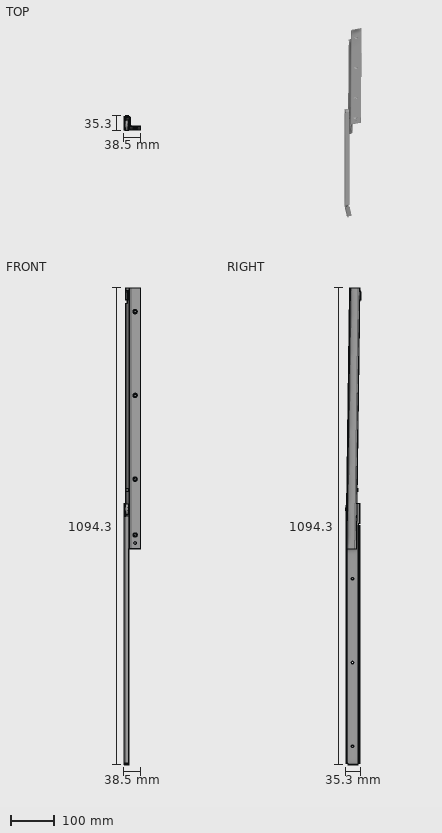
import cadquery as cq


overall_width = 38.5
overall_height = 35.3
overall_length = 1094.27

fixed_length = 600.0
fixed_sheet = 1.5
fixed_bottom = 1.6
fixed_top = 33.0
fixed_width = 11.4
fixed_bend = 3.5
rim_height = 3.2
bottom_flange_end = 571.0
rim_end = 549.0
head_corner_radius = 6.0
relief_height = 4.4
relief_depth = 3.0

tab_bend = 4.0
tab_inset = 4.0

fixed_hole_diameter = 5.0
fixed_hole_y = 16.0
fixed_hole_start = 43.2
fixed_hole_offsets = (0, 192, 384, 512)
locating_hole_diameter = 4.0
locating_hole_y = 24.0
locating_hole_z = 570.0

roller_diameter = 24.0
roller_y = roller_diameter / 2
roller_z = 587.0
roller_start_x = 3.0
roller_end_x = 10.5
axle_diameter = 6.8
shoulder_diameter = 11.0

moving_length = 598.6
tilt = 0.78
moving_sheet = 2.0
moving_height = 23.8
moving_web_x = 12.9
moving_bend = 4.0
top_flange_x = 4.0

hump_height = 2.4
hump_start = 571.5
hump_end = 593.0
hump_ramp = 4.0
hump_slit = 8.0
bump_height = 1.5
bump_start = 131.6
bump_length = 7.0

flange_hole_x = 25.8
flange_hole_diameter = 5.0
countersink_diameter = 10.0
countersunk_start = 32.0
countersunk_offsets = (0, 128, 320, 512)
end_hole_z = 13.5


def box(x0, x1, y0, y1, z0, z1):
    corner = cq.Workplane("XY", origin=(x0, y0, z0))
    return corner.box(x1 - x0, y1 - y0, z1 - z0, centered=False)


def rod(diameter, x0, x1, y, z):
    return cq.Workplane("YZ", origin=(x0, y, z)).circle(diameter / 2).extrude(x1 - x0)


def fixed_section():
    """Closed outline of the web, its bottom bend and flange, and the stepped top rim."""
    bend_y = fixed_bottom + fixed_bend
    rim_y = fixed_top - rim_height
    return (
        cq.Workplane("XY", origin=(0, 0, tab_bend))
        .moveTo(0, rim_y)
        .lineTo(0, bend_y)
        .radiusArc((fixed_bend, fixed_bottom), -fixed_bend)
        .lineTo(fixed_width, fixed_bottom)
        .lineTo(fixed_width, fixed_bottom + fixed_sheet)
        .lineTo(fixed_bend, fixed_bottom + fixed_sheet)
        .radiusArc((fixed_sheet, bend_y), fixed_bend - fixed_sheet)
        .lineTo(fixed_sheet, rim_y - fixed_sheet)
        .lineTo(2 * fixed_sheet, rim_y - fixed_sheet)
        .lineTo(2 * fixed_sheet, fixed_top)
        .lineTo(fixed_sheet, fixed_top)
        .lineTo(fixed_sheet, rim_y)
        .close()
    )


def fixed_head():
    """Flat plate that carries the roller, above the ends of the flange and the rim."""
    middle = (fixed_bottom + fixed_top) / 2
    lower = box(0, fixed_sheet, fixed_bottom, middle, bottom_flange_end, fixed_length)
    lower = lower.edges("|X and <Y and >Z").fillet(head_corner_radius)
    relief_top = rim_end + relief_height
    upper = box(0, fixed_sheet, middle, fixed_top, relief_top, fixed_length)
    neck = box(0, fixed_sheet, middle, fixed_top - relief_depth, rim_end, relief_top)
    return lower.union(upper).union(neck)


def stop_tab():
    """The web narrows and bends towards +X at Z = 0."""
    width = fixed_top - fixed_bottom - 2 * tab_inset
    return (
        cq.Workplane("XZ", origin=(0, fixed_top - tab_inset, 0))
        .moveTo(0, tab_bend)
        .radiusArc((tab_bend, 0), -tab_bend)
        .lineTo(fixed_width, 0)
        .lineTo(fixed_width, fixed_sheet)
        .lineTo(tab_bend, fixed_sheet)
        .radiusArc((fixed_sheet, tab_bend), tab_bend - fixed_sheet)
        .close()
        .extrude(width)
    )


def make_fixed_rail():
    middle = (fixed_bottom + fixed_top) / 2
    reach = fixed_width
    rail = fixed_section().extrude(fixed_length - tab_bend)
    rail = rail.cut(box(0, reach, 0, middle, bottom_flange_end, fixed_length))
    rail = rail.cut(box(0, reach, middle, fixed_top, rim_end, fixed_length))
    rail = rail.union(fixed_head()).union(stop_tab())
    for offset in fixed_hole_offsets:
        hole_z = fixed_hole_start + offset
        rail = rail.cut(rod(fixed_hole_diameter, 0, fixed_sheet, fixed_hole_y, hole_z))
    rail = rail.cut(rod(locating_hole_diameter, 0, fixed_sheet, locating_hole_y, locating_hole_z))
    return rail.cut(rod(axle_diameter, 0, fixed_sheet, roller_y, roller_z))


def make_roller():
    wheel = rod(roller_diameter, roller_start_x, roller_end_x, roller_y, roller_z)
    return wheel.cut(rod(axle_diameter, roller_start_x, roller_end_x, roller_y, roller_z))


def make_axle():
    """Pin flush with the web, with a shoulder that spaces the roller off the web."""
    pin = rod(axle_diameter, 0, roller_end_x, roller_y, roller_z)
    return pin.union(rod(shoulder_diameter, fixed_sheet, roller_start_x, roller_y, roller_z))


def moving_section():
    """Closed outline of the web with a bottom flange towards +X and a top flange towards -X."""
    inner_bend = moving_bend - moving_sheet
    left = moving_web_x
    right = left + moving_sheet
    top = moving_height
    return (
        cq.Workplane("XY")
        .moveTo(overall_width, 0)
        .lineTo(left + moving_bend, 0)
        .radiusArc((left, moving_bend), moving_bend)
        .lineTo(left, top - moving_bend)
        .radiusArc((left - inner_bend, top - moving_sheet), -inner_bend)
        .lineTo(top_flange_x, top - moving_sheet)
        .lineTo(top_flange_x, top)
        .lineTo(right - moving_bend, top)
        .radiusArc((right, top - moving_bend), moving_bend)
        .lineTo(right, moving_bend)
        .radiusArc((right + inner_bend, moving_sheet), -inner_bend)
        .lineTo(overall_width, moving_sheet)
        .close()
    )


def hump_prism(base, x1):
    """Hump outline above the height base: sheared square at its lower end, ramped at its upper end."""
    return (
        cq.Workplane("YZ", origin=(top_flange_x, 0, 0))
        .moveTo(base, hump_start)
        .lineTo(base + hump_height, hump_start)
        .lineTo(base + hump_height, hump_end - hump_ramp)
        .lineTo(base, hump_end)
        .close()
        .extrude(x1 - top_flange_x)
    )


def add_hump(rail):
    """Press the top flange upwards, with a slit across its edge below the hump."""
    flat_end = moving_web_x + moving_sheet - moving_bend
    rail = rail.union(hump_prism(moving_height, flat_end))
    rail = rail.cut(hump_prism(moving_height - moving_sheet, flat_end - moving_sheet))
    slit_end = (top_flange_x + flat_end) / 2
    slit_bottom = hump_start - hump_slit
    underside = moving_height - moving_sheet
    return rail.cut(box(top_flange_x, slit_end, underside, moving_height, slit_bottom, hump_start))


def add_bump(rail):
    flat_end = moving_web_x + moving_sheet - moving_bend
    bump_top = moving_height + bump_height
    bump_end = bump_start + bump_length
    return rail.union(box(top_flange_x, flat_end, moving_height, bump_top, bump_start, bump_end))


def cut_flange_holes(rail):
    for offset in countersunk_offsets:
        centre = cq.Vector(flange_hole_x, 0, countersunk_start + offset)
        countersink = cq.Solid.makeCone(
            countersink_diameter / 2, flange_hole_diameter / 2, moving_sheet, centre, cq.Vector(0, 1, 0)
        )
        rail = rail.cut(cq.Workplane(countersink))
    end_hole = cq.Workplane("XZ", origin=(flange_hole_x, 0, end_hole_z)).circle(flange_hole_diameter / 2)
    return rail.cut(end_hole.extrude(-moving_sheet))


def make_moving_rail():
    rail = moving_section().extrude(moving_length)
    rail = cut_flange_holes(add_bump(add_hump(rail)))
    rail = rail.rotate((0, 0, 0), (1, 0, 0), -tilt)
    bounds = rail.val().BoundingBox()
    return rail.translate((0, overall_height - bounds.ymax, overall_length - bounds.zmax))


fixed_rail = make_fixed_rail()
moving_rail = make_moving_rail()
roller = make_roller()
axle = make_axle()

result = cq.Compound.makeCompound([fixed_rail.val(), moving_rail.val(), roller.val(), axle.val()])